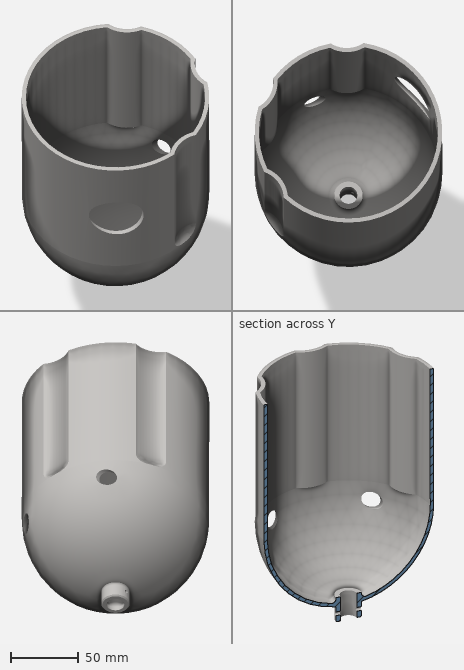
import cadquery as cq
import math

OUTER_RADIUS = 69.85
WALL = 3.175
CYLINDER_HEIGHT = 114.3
INNER_RADIUS = OUTER_RADIUS - WALL

SPOUT_RADIUS = 21.2 / 2
SPOUT_LENGTH = 12.0
SPOUT_BORE_DIAMETER = 13.2
SPOUT_CHAMFER = 1.0
PIN_HOLE_DIAMETER = 2.7
PIN_HOLE_HEIGHT = 7.0
SPOUT_BOTTOM = -(OUTER_RADIUS + SPOUT_LENGTH)

BOSS_FILLET = 3.175
BOSS_TOP = -61.0

FLUTE_SPACING = 62.7
FLUTE_ANGLES = (90 - FLUTE_SPACING, 90, 90 + FLUTE_SPACING)
FLUTE_RADIUS = 22.225
FLUTE_DEPTH = 4.7625
FLUTE_END_FILLET = 12.7
FLUTE_CENTRE = OUTER_RADIUS - FLUTE_DEPTH + FLUTE_RADIUS
RIDGE_FILLET = 1.5

SIDE_HOLE_DIAMETER = 38.1
SIDE_HOLE_Y = -24.1
SIDE_HOLE_HEIGHT = CYLINDER_HEIGHT / 2
DOME_HOLE_DIAMETER = 12.7
DOME_HOLE_X = (-38.4, 42.0)
DOME_HOLE_Z = -14.7


def half_ball(radius):
    """Lower half of a ball centred on the origin."""
    return (
        cq.Workplane("XZ")
        .lineTo(radius, 0)
        .radiusArc((0, -radius), radius)
        .close()
        .revolve(360, (0, 0, 0), (0, 1, 0))
    )


def turned(shape, angle):
    """The shape turned about the part's axis."""
    return shape.rotate((0, 0, 0), (0, 0, 1), angle)


def flute_cutter():
    """Bar along +X whose sloping lower end is blended into its inner side.

    The blend is tangent to the bar's innermost line and ends on the rim of the
    dome; the end plane is tangent to the blend at that point.
    """
    reach = FLUTE_END_FILLET - FLUTE_DEPTH
    rise = math.sqrt(FLUTE_END_FILLET**2 - reach**2)
    slope = reach / rise
    half_bar = (
        cq.Workplane("XY", origin=(FLUTE_CENTRE, 0, -CYLINDER_HEIGHT))
        .moveTo(0, FLUTE_RADIUS)
        .threePointArc((-FLUTE_RADIUS, 0), (0, -FLUTE_RADIUS))
        .close()
        .extrude(2 * CYLINDER_HEIGHT)
    )
    inner_x = FLUTE_CENTRE - 2 * FLUTE_RADIUS
    outer_x = FLUTE_CENTRE + FLUTE_RADIUS
    below_end = (
        cq.Workplane("XZ")
        .moveTo(inner_x, (OUTER_RADIUS - inner_x) * slope)
        .lineTo(outer_x, (OUTER_RADIUS - outer_x) * slope)
        .lineTo(outer_x, -2 * CYLINDER_HEIGHT)
        .lineTo(inner_x, -2 * CYLINDER_HEIGHT)
        .close()
        .extrude(2 * FLUTE_RADIUS, both=True)
    )
    bar = half_bar.cut(below_end)
    bar_inner_x = FLUTE_CENTRE - FLUTE_RADIUS
    end_box = cq.selectors.BoxSelector(
        (bar_inner_x - 1, -2, -50),
        (bar_inner_x + FLUTE_RADIUS / 2, 2, 50),
    )
    return bar.edges(end_box).fillet(FLUTE_END_FILLET)


def outer_body():
    """Fluted cylinder on a plain half ball."""
    body = cq.Workplane("XY").circle(OUTER_RADIUS).extrude(CYLINDER_HEIGHT)
    cutter = flute_cutter()
    for angle in FLUTE_ANGLES:
        body = body.cut(turned(cutter, angle))
    return body.union(half_ball(OUTER_RADIUS))


def cavity():
    """Inside of the shell, with a rounded ridge behind each flute."""
    bore = cq.Workplane("XY").circle(INNER_RADIUS).extrude(CYLINDER_HEIGHT)
    ridge = (
        cq.Workplane("XY", origin=(FLUTE_CENTRE, 0, 0))
        .circle(FLUTE_RADIUS + WALL)
        .extrude(CYLINDER_HEIGHT)
    )
    for angle in FLUTE_ANGLES:
        bore = bore.cut(turned(ridge, angle))
    middle_box = cq.selectors.BoxSelector((-100, -100, 40), (100, 100, 70))
    bore = bore.edges(middle_box).edges("|Z").fillet(RIDGE_FILLET)
    return bore.union(half_ball(INNER_RADIUS))


def spout():
    """Round post from the spout's lower end up to the boss inside the dome."""
    return (
        cq.Workplane("XY", origin=(0, 0, SPOUT_BOTTOM))
        .circle(SPOUT_RADIUS)
        .extrude(BOSS_TOP - SPOUT_BOTTOM)
        .faces("<Z")
        .chamfer(SPOUT_CHAMFER)
    )


def boss_flare():
    """Ring whose concave side blends the boss into the dome."""
    centre_r = SPOUT_RADIUS + BOSS_FILLET
    centre_distance = INNER_RADIUS - BOSS_FILLET
    centre_z = -math.sqrt(centre_distance**2 - centre_r**2)
    stretch = INNER_RADIUS / centre_distance
    dome_r = centre_r * stretch
    dome_z = centre_z * stretch
    return (
        cq.Workplane("XZ")
        .moveTo(SPOUT_RADIUS, centre_z)
        .radiusArc((dome_r, dome_z), -BOSS_FILLET)
        .lineTo(SPOUT_RADIUS, dome_z - WALL / 2)
        .close()
        .revolve(360, (0, 0, 0), (0, 1, 0))
    )


def spout_bore():
    """Hole along the axis through the spout and the boss."""
    return (
        cq.Workplane("XY", origin=(0, 0, SPOUT_BOTTOM))
        .circle(SPOUT_BORE_DIAMETER / 2)
        .extrude(OUTER_RADIUS)
    )


def pin_hole():
    """Cross hole along X through the spout."""
    return (
        cq.Workplane("YZ", origin=(0, 0, SPOUT_BOTTOM + PIN_HOLE_HEIGHT))
        .circle(PIN_HOLE_DIAMETER / 2)
        .extrude(2 * SPOUT_RADIUS, both=True)
    )


def side_hole():
    """Large hole along X through the +X side of the cylinder."""
    return (
        cq.Workplane("YZ", origin=(0, SIDE_HOLE_Y, SIDE_HOLE_HEIGHT))
        .circle(SIDE_HOLE_DIAMETER / 2)
        .extrude(OUTER_RADIUS)
    )


def dome_hole(x):
    """Hole along Y through the +Y side of the dome."""
    return (
        cq.Workplane("XZ", origin=(x, 0, DOME_HOLE_Z))
        .circle(DOME_HOLE_DIAMETER / 2)
        .extrude(-OUTER_RADIUS)
    )


result = outer_body().cut(cavity()).union(spout()).union(boss_flare())
result = result.cut(spout_bore()).cut(pin_hole()).cut(side_hole())
for dome_hole_x in DOME_HOLE_X:
    result = result.cut(dome_hole(dome_hole_x))